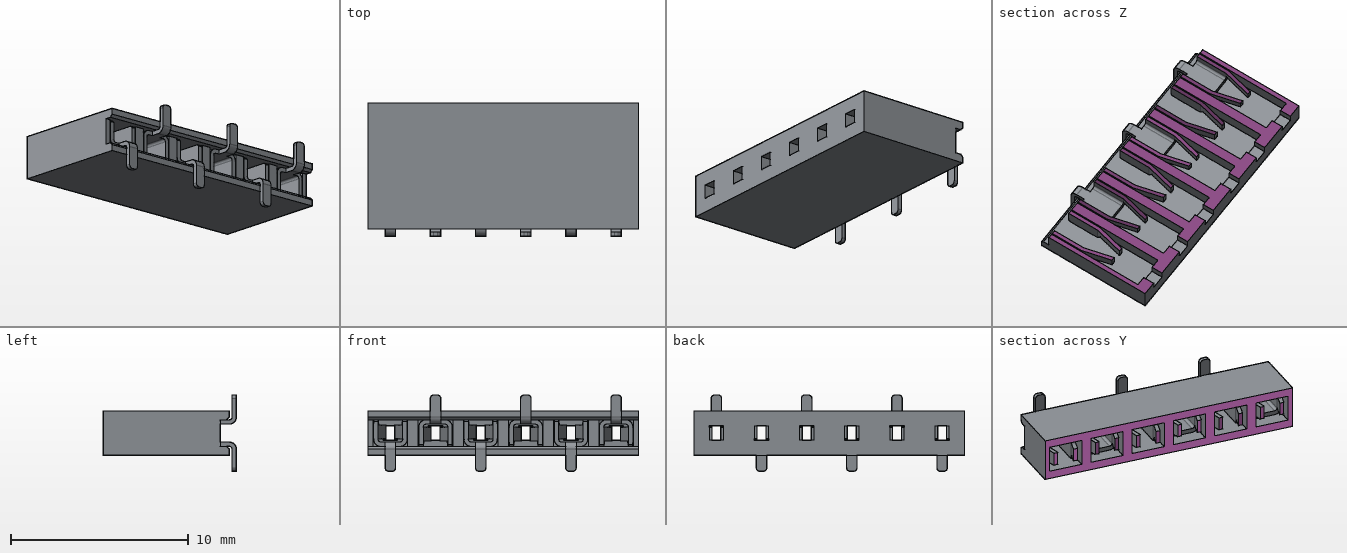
import cadquery as cq

contact_count = 6
pitch = 2.54

housing_width = contact_count * pitch
housing_depth = 7.1
housing_height = 2.5
groove_depth = 0.5
groove_height = 1.5
groove_chamfer = 0.15
cavity_width = 1.95
rear_wall = 0.7
cavity_end = housing_depth - rear_wall
pin_hole_side = 0.8

sheet = 0.25
bend_inner_radius = 0.15
bend_outer_radius = bend_inner_radius + sheet
contact_width = 1.88
contact_half_width = contact_width / 2
contact_height = groove_height
contact_front = groove_depth
wall_chamfer = 0.1

channel_end = 2.5
spring_taper_length = 0.2
spring_length = 1.8
spring_end = channel_end + spring_length
spring_gap = 0.49
spring_top = 0.45
spring_bottom = -0.33

lead_width = 0.6
lead_gap = 0.15
lead_front = -(lead_gap + sheet)
lead_reach = 2.15
lead_tip_radius = 0.2


def contact_centre(index):
    return (index - (contact_count - 1) / 2) * pitch


def make_housing():
    body = cq.Workplane("XY").box(
        housing_width, housing_depth, housing_height, centered=(True, False, True)
    )

    half_groove = groove_height / 2
    half_mouth = half_groove + groove_chamfer
    groove = (
        cq.Workplane("YZ")
        .polyline([
            (0, -half_mouth),
            (groove_chamfer, -half_groove),
            (groove_depth, -half_groove),
            (groove_depth, half_groove),
            (groove_chamfer, half_groove),
            (0, half_mouth),
        ])
        .close()
        .extrude(housing_width / 2, both=True)
    )
    body = body.cut(groove)

    for index in range(contact_count):
        x = contact_centre(index)
        cavity = (
            cq.Workplane("XY")
            .box(cavity_width, cavity_end - groove_depth, groove_height, centered=(True, False, True))
            .translate((x, groove_depth, 0))
        )
        pin_hole = (
            cq.Workplane("XY")
            .box(pin_hole_side, rear_wall, pin_hole_side, centered=(True, False, True))
            .translate((x, cavity_end, 0))
        )
        body = body.cut(cavity).cut(pin_hole)
    return body


def make_channel():
    """U-shaped channel, open at the top, with chamfered front corners on its walls."""
    length = channel_end - contact_front
    inner_width = contact_width - 2 * sheet
    outer = (
        cq.Workplane("XY")
        .box(contact_width, length, contact_height, centered=(True, False, True))
        .edges("|Y and <Z")
        .fillet(bend_outer_radius)
        .faces("<Y")
        .edges(">Z")
        .chamfer(wall_chamfer)
    )
    inner = (
        cq.Workplane("XY")
        .box(inner_width, length, contact_height, centered=(True, False, True))
        .edges("|Y and <Z")
        .fillet(bend_inner_radius)
        .translate((0, 0, sheet))
    )
    return outer.cut(inner).translate((0, contact_front, 0))


def make_spring():
    """Spring at the +X wall: a leaning strip seen from above, trimmed to its side outline."""
    half_height = contact_height / 2
    tip_inner = spring_gap / 2
    strip = (
        cq.Workplane("XY")
        .polyline([
            (contact_half_width - sheet, channel_end),
            (contact_half_width, channel_end),
            (tip_inner + sheet, spring_end),
            (tip_inner, spring_end),
        ])
        .close()
        .extrude(half_height, both=True)
    )
    taper_end = channel_end + spring_taper_length
    side_outline = (
        cq.Workplane("YZ")
        .polyline([
            (channel_end, bend_outer_radius - half_height),
            (taper_end, spring_bottom),
            (spring_end, spring_bottom),
            (spring_end, spring_top),
            (taper_end, spring_top),
            (channel_end, half_height),
        ])
        .close()
        .extrude(contact_half_width)
    )
    return strip.intersect(side_outline)


def make_lead():
    """Lead that runs forward from the channel floor and bends down outside the housing."""
    floor_bottom = -contact_height / 2
    floor_top = floor_bottom + sheet
    lead = (
        cq.Workplane("YZ")
        .moveTo(contact_front, floor_top)
        .lineTo(lead_front + bend_outer_radius, floor_top)
        .radiusArc((lead_front, floor_top - bend_outer_radius), -bend_outer_radius)
        .lineTo(lead_front, -lead_reach)
        .lineTo(lead_front + sheet, -lead_reach)
        .lineTo(lead_front + sheet, floor_bottom - bend_inner_radius)
        .radiusArc((lead_front + bend_outer_radius, floor_bottom), bend_inner_radius)
        .lineTo(contact_front, floor_bottom)
        .close()
        .extrude(lead_width / 2, both=True)
    )
    return lead.faces("<Z").edges("|Y").fillet(lead_tip_radius)


def make_contact():
    spring = make_spring()
    return make_channel().union(make_lead()).union(spring).union(spring.mirror("YZ"))


housing = make_housing()

contact = make_contact()
contacts = []
for index in range(contact_count):
    lead_points_up = index % 2 == 1
    turned = contact.rotate((0, 0, 0), (0, 1, 0), 180) if lead_points_up else contact
    contacts.append(turned.translate((contact_centre(index), 0, 0)).val())

result = cq.Compound.makeCompound([housing.val(), *contacts])